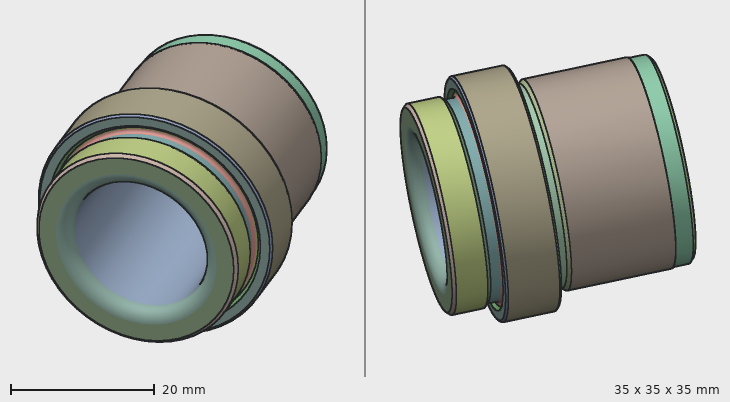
import cadquery as cq

length = 35.0
collar_diameter = 35.0
land_diameter = 30.1
pilot_diameter = 29.8
groove_diameter = 29.0
bore_diameter = 20.0
recess_mouth_diameter = 31.57
recess_floor_diameter = 30.6

front_land_end = 5.0
collar_start = 7.0
collar_end = 15.0
rear_land_start = 17.0
pilot_start = 32.0

end_chamfer = 0.5
collar_chamfer = 0.3
recess_depth = 0.5
recess_fillet = 0.5
bore_entry_radius = 2.0

land_radius = land_diameter / 2
pilot_radius = pilot_diameter / 2
groove_radius = groove_diameter / 2
collar_radius = collar_diameter / 2
bore_radius = bore_diameter / 2
recess_floor = collar_start + recess_depth
land_step = land_radius - groove_radius


def turned_body():
    """Revolve the outer profile, given as (radius, distance from the front face)."""
    front_outline = [
        (0, 0),
        (land_radius - end_chamfer, 0),
        (land_radius, end_chamfer),
        (land_radius, front_land_end),
        (groove_radius, front_land_end + land_step),
        (groove_radius, recess_floor - recess_fillet),
    ]
    rear_outline = [
        (groove_radius + recess_fillet, recess_floor),
        (recess_floor_diameter / 2, recess_floor),
        (recess_mouth_diameter / 2, collar_start),
        (collar_radius - collar_chamfer, collar_start),
        (collar_radius, collar_start + collar_chamfer),
        (collar_radius, collar_end - collar_chamfer),
        (collar_radius - collar_chamfer, collar_end),
        (groove_radius, collar_end),
        (groove_radius, rear_land_start - land_step),
        (land_radius, rear_land_start),
        (land_radius, pilot_start),
        (pilot_radius, pilot_start),
        (pilot_radius, length - end_chamfer),
        (pilot_radius - end_chamfer, length),
        (0, length),
    ]
    fillet_rise = recess_fillet * (1 - 1 / 2**0.5)
    profile = (
        cq.Workplane("XY")
        .polyline(front_outline)
        .threePointArc((groove_radius + fillet_rise, recess_floor - fillet_rise), rear_outline[0])
        .polyline(rear_outline[1:], includeCurrent=True)
        .close()
    )
    return profile.revolve(360, (0, 0), (0, 1))


def bore_cutter():
    """Revolve the through bore with its rounded front entry."""
    entry_centre = bore_radius + bore_entry_radius
    diagonal = bore_entry_radius / 2**0.5
    profile = (
        cq.Workplane("XY")
        .moveTo(0, 0)
        .lineTo(entry_centre, 0)
        .threePointArc(
            (entry_centre - diagonal, bore_entry_radius - diagonal),
            (bore_radius, bore_entry_radius),
        )
        .lineTo(bore_radius, length)
        .lineTo(0, length)
        .close()
    )
    return profile.revolve(360, (0, 0), (0, 1))


result = turned_body().cut(bore_cutter()).translate((0, -length / 2, 0))